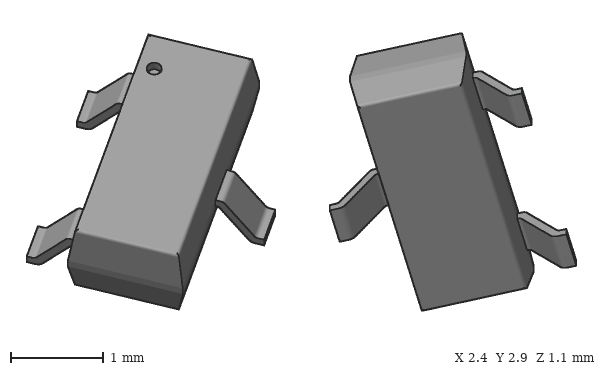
import cadquery as cq
import math

OVERALL_WIDTH = 2.4
BODY_WIDTH = 1.3
BODY_LENGTH = 2.9
BODY_TOP = 1.1
STANDOFF = 0.1

LEAD_THICKNESS = 0.105
LEAD_WIDTH = 0.425
LEAD_UNDERSIDE = 0.508
LEAD_ROW_OFFSET = 0.95
FOOT_LENGTH = 0.094
SLOPE_RUN = 0.368
BEND_RADIUS = 0.055
HEEL_RADIUS = 0.1

DRAFT_INSET = 0.065
RIM_RADIUS = 0.032

DOT_DIAMETER = 0.16
DOT_DEPTH = 0.12
DOT_X = -0.39
DOT_Y = LEAD_ROW_OFFSET

LEAD_TOP = LEAD_UNDERSIDE + LEAD_THICKNESS
BODY_FACE = BODY_WIDTH / 2
LEAD_TIP = OVERALL_WIDTH / 2


def drafted_half(start_z, end_z):
    """Half of the body, tapering from the full outline at start_z to its flat face at end_z."""
    return (
        cq.Workplane("XY")
        .workplane(offset=start_z)
        .rect(BODY_WIDTH, BODY_LENGTH)
        .workplane(offset=end_z - start_z)
        .rect(BODY_WIDTH - 2 * DRAFT_INSET, BODY_LENGTH - 2 * DRAFT_INSET)
        .loft(ruled=True)
    )


def make_body():
    """Straight band level with the leads, drafted above and below, with rounded rims and a pin 1 mark."""
    band = (
        cq.Workplane("XY")
        .workplane(offset=LEAD_UNDERSIDE)
        .rect(BODY_WIDTH, BODY_LENGTH)
        .extrude(LEAD_THICKNESS)
    )
    upper = drafted_half(LEAD_TOP, BODY_TOP)
    lower = drafted_half(LEAD_UNDERSIDE, STANDOFF)
    body = band.union(upper).union(lower)
    body = body.faces(">Z or <Z").edges().fillet(RIM_RADIUS)
    dot = (
        cq.Workplane("XY")
        .workplane(offset=BODY_TOP - DOT_DEPTH)
        .center(DOT_X, DOT_Y)
        .circle(DOT_DIAMETER / 2)
        .extrude(DOT_DEPTH)
    )
    return body.cut(dot)


def make_lead():
    """Gull-wing lead on the -X side at Y = 0, ending flush against the side of the body."""
    slope_angle = math.atan2(LEAD_UNDERSIDE, SLOPE_RUN)
    corner_shift = LEAD_THICKNESS * math.tan(slope_angle / 2)
    foot_corner = -LEAD_TIP + FOOT_LENGTH
    shoulder_corner = foot_corner + SLOPE_RUN
    heel_corner = foot_corner + corner_shift
    inner_corner = shoulder_corner + corner_shift

    lead = (
        cq.Workplane("XZ")
        .moveTo(-LEAD_TIP, 0)
        .lineTo(heel_corner, 0)
        .lineTo(inner_corner, LEAD_UNDERSIDE)
        .lineTo(-BODY_FACE, LEAD_UNDERSIDE)
        .lineTo(-BODY_FACE, LEAD_TOP)
        .lineTo(shoulder_corner, LEAD_TOP)
        .lineTo(foot_corner, LEAD_THICKNESS)
        .lineTo(-LEAD_TIP, LEAD_THICKNESS)
        .close()
        .extrude(LEAD_WIDTH / 2, both=True)
    )

    bends = [
        (foot_corner, LEAD_THICKNESS, BEND_RADIUS),
        (shoulder_corner, LEAD_TOP, BEND_RADIUS),
        (inner_corner, LEAD_UNDERSIDE, BEND_RADIUS),
        (heel_corner, 0, HEEL_RADIUS),
    ]
    for x, z, radius in bends:
        bend_edge = cq.selectors.NearestToPointSelector((x, 0, z))
        lead = lead.edges("|Y").edges(bend_edge).fillet(radius)
    return lead


body = make_body()

lead_places = [
    (LEAD_ROW_OFFSET, 0),
    (-LEAD_ROW_OFFSET, 0),
    (0, 180),
]
leads = []
for y, turn in lead_places:
    lead = make_lead().rotate((0, 0, 0), (0, 0, 1), turn).translate((0, y, 0))
    leads.append(lead.val())

result = cq.Compound.makeCompound([body.val(), *leads])